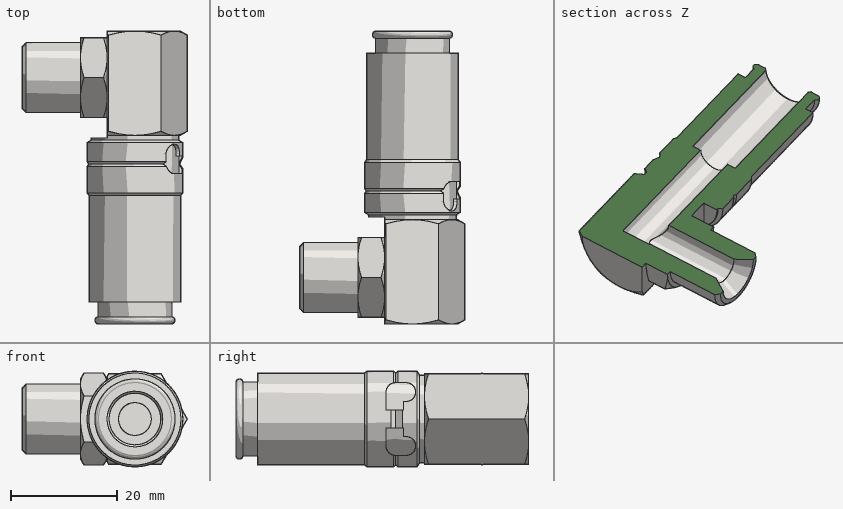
import cadquery as cq
import math


OVERALL_LENGTH = 55.0

BODY_FLATS = 17.05
BODY_END = 8.75
BODY_LENGTH = 19.6
BODY_START = BODY_END - BODY_LENGTH
MILLED_FACE_X = -5.2
MILLED_FACE_END = -11.35
HEX_CHAMFER_ANGLE = 30

NUT_FLATS = 15.0
NUT_OUTER_X = -10.25
SPIGOT_RADIUS = 6.6
SPIGOT_END_X = -21.2
SPIGOT_CHAMFER = 0.75
CONE_MOUTH_RADIUS = 4.9
CONE_DEPTH = 3.0
BRANCH_BORE_RADIUS = 2.9

NECK_RADIUS = 8.25
COLLAR_RADIUS = 18.0 / 2
COLLAR_START = -11.7
COLLAR_END = -22.1
COLLAR_CHAMFER_WIDTH = 0.5
GROOVE_Y = -16.2
GROOVE_HALF_WIDTH = 0.45
GROOVE_DEPTH = 0.35
SLEEVE_RADIUS = 8.65
SLEEVE_END = -42.15
TUBE_RADIUS = 7.0
TUBE_END = BODY_END - OVERALL_LENGTH
LIP_RADIUS = 7.55
LIP_WIDTH = 1.4

TUBE_BORE_RADIUS = 4.85
TUBE_BORE_CHAMFER = 0.4
TUBE_BORE_FLOOR = COLLAR_END
FLOW_BORE_RADIUS = 3.1

RECESS_FLOOR_RADIUS = 8.4
RECESS_TOP = -12.5
RECESS_BOTTOM = -18.05
LOBE_OUTER_Z = 6.8
LOBE_WIDTH = 3.5
LUG_HALF_WIDTH = 1.7
NOTCH_TOP = -14.75
GAP_TOP = -14.95
GAP_BOTTOM = -17.1


def revolve_about_y(profile):
    """Turn a closed (radius, y) profile about the Y axis."""
    return cq.Workplane("XY").polyline(profile).close().revolve(360, (0, 0, 0), (0, 1, 0))


def revolve_about_x(profile):
    """Turn a closed (x, radius) profile about the X axis."""
    return cq.Workplane("XY").polyline(profile).close().revolve(360, (0, 0, 0), (1, 0, 0))


def chamfered_hexagon(flats, length):
    """Hexagonal bar along +Z, corners on X, with both ends turned to a cone."""
    inner = flats / 2
    corner = inner / math.cos(math.pi / 6)
    drop = (corner - inner) * math.tan(math.radians(HEX_CHAMFER_ANGLE))
    bar = cq.Workplane("XY").polygon(6, 2 * corner).extrude(length)
    envelope = (
        cq.Workplane("XZ")
        .polyline([(0, 0), (inner, 0), (corner, drop), (corner, length - drop), (inner, length), (0, length)])
        .close()
        .revolve(360, (0, 0, 0), (0, 1, 0))
    )
    return bar.intersect(envelope)


def elbow_body():
    """Hexagonal body and its neck, both milled flat where the branch leaves."""
    body = chamfered_hexagon(BODY_FLATS, BODY_LENGTH)
    body = body.rotate((0, 0, 0), (1, 0, 0), 90).translate((0, BODY_END, 0))
    neck = revolve_about_y([
        (0, BODY_START),
        (NECK_RADIUS, BODY_START),
        (NECK_RADIUS, MILLED_FACE_END),
        (0, MILLED_FACE_END),
    ])
    size = 2 * BODY_FLATS
    waste = cq.Workplane("XY").box(size, size, size).translate((MILLED_FACE_X - size / 2, 0, 0))
    return body.union(neck).cut(waste)


def branch():
    """Hexagonal collar with the round spigot in front of it."""
    nut = chamfered_hexagon(NUT_FLATS, MILLED_FACE_X - NUT_OUTER_X)
    nut = nut.rotate((0, 0, 0), (0, 1, 0), 90).translate((NUT_OUTER_X, 0, 0))
    spigot = revolve_about_x([
        (MILLED_FACE_X, 0),
        (SPIGOT_END_X, 0),
        (SPIGOT_END_X, SPIGOT_RADIUS - SPIGOT_CHAMFER),
        (SPIGOT_END_X + SPIGOT_CHAMFER, SPIGOT_RADIUS),
        (MILLED_FACE_X, SPIGOT_RADIUS),
    ])
    return nut.union(spigot)


def sleeve():
    """Grooved collar, plain sleeve and release tube with a full-round lip."""
    lip_middle = TUBE_END + LIP_WIDTH / 2
    turned = revolve_about_y([
        (0, MILLED_FACE_END),
        (NECK_RADIUS, MILLED_FACE_END),
        (NECK_RADIUS, COLLAR_START),
        (COLLAR_RADIUS, COLLAR_START - COLLAR_CHAMFER_WIDTH),
        (COLLAR_RADIUS, GROOVE_Y + GROOVE_HALF_WIDTH),
        (COLLAR_RADIUS - GROOVE_DEPTH, GROOVE_Y),
        (COLLAR_RADIUS, GROOVE_Y - GROOVE_HALF_WIDTH),
        (COLLAR_RADIUS, COLLAR_END + COLLAR_CHAMFER_WIDTH),
        (SLEEVE_RADIUS, COLLAR_END),
        (SLEEVE_RADIUS, SLEEVE_END),
        (TUBE_RADIUS, SLEEVE_END),
        (TUBE_RADIUS, lip_middle),
        (0, lip_middle),
    ])
    lip_center_radius = LIP_RADIUS - LIP_WIDTH / 2
    lip = (
        cq.Workplane("XY")
        .moveTo(0, TUBE_END)
        .lineTo(lip_center_radius, TUBE_END)
        .threePointArc((LIP_RADIUS, lip_middle), (lip_center_radius, TUBE_END + LIP_WIDTH))
        .lineTo(0, TUBE_END + LIP_WIDTH)
        .close()
        .revolve(360, (0, 0, 0), (0, 1, 0))
    )
    return turned.union(lip)


def sleeve_bore():
    """Chamfered tube bore that narrows to the flow bore up to the branch."""
    return revolve_about_y([
        (0, TUBE_END),
        (TUBE_BORE_RADIUS + TUBE_BORE_CHAMFER, TUBE_END),
        (TUBE_BORE_RADIUS, TUBE_END + TUBE_BORE_CHAMFER),
        (TUBE_BORE_RADIUS, TUBE_BORE_FLOOR),
        (FLOW_BORE_RADIUS, TUBE_BORE_FLOOR),
        (FLOW_BORE_RADIUS, FLOW_BORE_RADIUS),
        (0, FLOW_BORE_RADIUS),
    ])


def branch_bore():
    """Conical seat followed by a straight bore that meets the flow bore."""
    return revolve_about_x([
        (SPIGOT_END_X, 0),
        (SPIGOT_END_X, CONE_MOUTH_RADIUS),
        (SPIGOT_END_X + CONE_DEPTH, BRANCH_BORE_RADIUS),
        (0, BRANCH_BORE_RADIUS),
        (0, 0),
    ])


def locking_recess():
    """Two rounded lobes with square notches towards the middle, joined by a V-shaped gap."""
    lobe_height = RECESS_TOP - RECESS_BOTTOM
    lobe_y = (RECESS_TOP + RECESS_BOTTOM) / 2
    lobe_z = LOBE_OUTER_Z - LOBE_WIDTH / 2
    notch_height = NOTCH_TOP - RECESS_BOTTOM
    notch_width = lobe_z - LUG_HALF_WIDTH
    notch_y = RECESS_BOTTOM + notch_height / 2
    notch_z = LUG_HALF_WIDTH + notch_width / 2

    side = cq.Workplane("YZ")
    lobe_centers = side.pushPoints([(lobe_y, -lobe_z), (lobe_y, lobe_z)])
    lobes = lobe_centers.slot2D(lobe_height, LOBE_WIDTH).extrude(COLLAR_RADIUS)
    notch_centers = side.pushPoints([(notch_y, -notch_z), (notch_y, notch_z)])
    notches = notch_centers.rect(notch_height, notch_width).extrude(COLLAR_RADIUS)
    core = cq.Workplane("XZ").circle(RECESS_FLOOR_RADIUS).extrude(-COLLAR_END)
    pockets = lobes.union(notches).cut(core)

    between = side.center((GAP_TOP + GAP_BOTTOM) / 2, 0)
    between = between.rect(GAP_TOP - GAP_BOTTOM, 2 * LUG_HALF_WIDTH).extrude(COLLAR_RADIUS)
    gap = revolve_about_y([
        (COLLAR_RADIUS, GAP_TOP),
        (RECESS_FLOOR_RADIUS, GROOVE_Y),
        (COLLAR_RADIUS, GAP_BOTTOM),
    ])
    return pockets.union(between.intersect(gap))


result = elbow_body().union(branch()).union(sleeve())
result = result.cut(locking_recess()).cut(sleeve_bore()).cut(branch_bore())